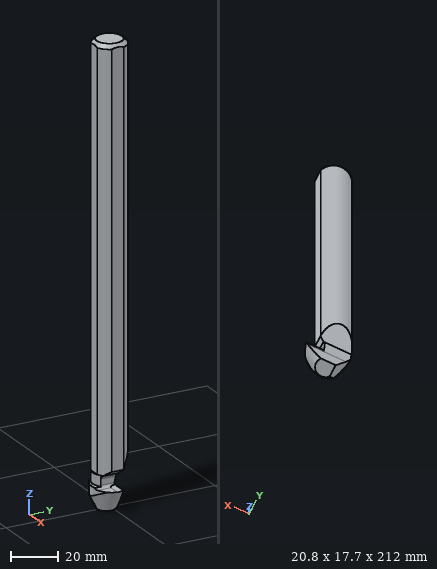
import cadquery as cq
import math

TOTAL_LENGTH = 212.0
OVERALL_WIDTH = 20.8
SHANK_DIAMETER = 16.0
SHANK_RADIUS = SHANK_DIAMETER / 2
FLAT_DISTANCE = 7.5
TOP_CHAMFER = 2.0
JOINT_Z = 16.0

RELIEF_START_Z = 27.5
RELIEF_END_Y = 1.7
RAKE_TOP_Z = 9.5
RELIEF_BULGE = 0.5

LEDGE_Z = 10.8
CUTTER_CENTRE = (2.3, 0.8)
CUTTER_TIP_X = OVERALL_WIDTH - SHANK_RADIUS
CUTTER_RADIUS = math.hypot(CUTTER_TIP_X - CUTTER_CENTRE[0], CUTTER_CENTRE[1])
TIP_CENTRE = (2.3, -2.8)
TIP_RADIUS = 4.5
TAPER_TOP_CENTRE = (0.2, 1.3)
TAPER_TOP_RADIUS = 12.7

SIDE_RELIEF_TOP_Z = 13.4
SIDE_RELIEF_TIP_X = -1.0

NOTCH_X = 4.5
NOTCH_DEPTH = 0.6
LIP_WIDTH = 2.5
NOTCH_FOOT_RADIUS = 1.38
NOTCH_TOP_RADIUS = 1.0
NOTCH_BEVEL_TOP_Z = 17.8

MARGIN = 10.5
NOTCH_FLOOR_Z = LEDGE_Z - NOTCH_DEPTH
CUT_WIDTH = 2 * (CUTTER_TIP_X + MARGIN)


def back_relief():
    """Material removed behind the rake face and along the slope above it."""
    mid_y = RELIEF_END_Y / 2 - RELIEF_BULGE
    mid_z = (JOINT_Z + RAKE_TOP_Z) / 2
    outer_y = SHANK_RADIUS + MARGIN
    return (
        cq.Workplane("YZ", origin=(-CUT_WIDTH / 2, 0, 0))
        .moveTo(0, -MARGIN)
        .lineTo(0, RAKE_TOP_Z)
        .threePointArc((mid_y, mid_z), (RELIEF_END_Y, JOINT_Z))
        .lineTo(SHANK_RADIUS, RELIEF_START_Z)
        .lineTo(outer_y, RELIEF_START_Z)
        .lineTo(outer_y, -MARGIN)
        .close()
        .extrude(CUT_WIDTH)
    )


def cutting_lip():
    """Wedge left standing on the notch floor, highest beside the rake face."""
    return (
        cq.Workplane("YZ")
        .moveTo(-LIP_WIDTH, NOTCH_FLOOR_Z)
        .lineTo(0, LEDGE_Z)
        .lineTo(RELIEF_END_Y, LEDGE_Z)
        .lineTo(RELIEF_END_Y, NOTCH_FLOOR_Z)
        .close()
        .extrude(CUT_WIDTH)
    )


def neck_notch():
    """Notch with a sloping lip, a filleted foot, an upright wall and a 45 degree bevel."""
    bevel_foot_z = NOTCH_BEVEL_TOP_Z - (FLAT_DISTANCE - NOTCH_X)
    outer_x = CUTTER_TIP_X + MARGIN
    bevel_outer_z = NOTCH_BEVEL_TOP_Z + outer_x - FLAT_DISTANCE
    notch = (
        cq.Workplane("XZ", origin=(0, CUT_WIDTH / 2, 0))
        .moveTo(NOTCH_X, NOTCH_FLOOR_Z)
        .lineTo(outer_x, NOTCH_FLOOR_Z)
        .lineTo(outer_x, bevel_outer_z)
        .lineTo(NOTCH_X, bevel_foot_z)
        .close()
        .extrude(CUT_WIDTH)
    )
    foot = cq.selectors.NearestToPointSelector((NOTCH_X, 0, NOTCH_FLOOR_Z))
    bevel = cq.selectors.NearestToPointSelector((NOTCH_X, 0, bevel_foot_z))
    notch = notch.edges(foot).fillet(NOTCH_FOOT_RADIUS).edges(bevel).fillet(NOTCH_TOP_RADIUS)
    return notch.cut(cutting_lip())


def side_relief():
    """Wedge on the -X side, removed below the slanted flat."""
    slope = (SIDE_RELIEF_TIP_X + SHANK_RADIUS) / SIDE_RELIEF_TOP_Z
    outer_x = -SHANK_RADIUS - MARGIN
    return (
        cq.Workplane("XZ", origin=(0, CUT_WIDTH / 2, 0))
        .moveTo(SIDE_RELIEF_TIP_X + slope * MARGIN, -MARGIN)
        .lineTo(-SHANK_RADIUS, SIDE_RELIEF_TOP_Z)
        .lineTo(outer_x, SIDE_RELIEF_TOP_Z)
        .lineTo(outer_x, -MARGIN)
        .close()
        .extrude(CUT_WIDTH)
    )


def make_shank():
    bar = (
        cq.Workplane("XY", origin=(0, 0, JOINT_Z))
        .circle(SHANK_RADIUS)
        .extrude(TOTAL_LENGTH - JOINT_Z)
        .faces(">Z")
        .chamfer(TOP_CHAMFER)
    )
    flats = (
        cq.Workplane("XY", origin=(FLAT_DISTANCE, -FLAT_DISTANCE, 0))
        .rect(-CUT_WIDTH, CUT_WIDTH, centered=False)
        .extrude(TOTAL_LENGTH)
    )
    return bar.intersect(flats).cut(back_relief()).cut(neck_notch())


def make_cutter():
    """Round cutter, trimmed by the taper that narrows toward the tip."""
    cylinder = (
        cq.Workplane("XY")
        .center(*CUTTER_CENTRE)
        .circle(CUTTER_RADIUS)
        .extrude(LEDGE_Z)
    )
    taper = (
        cq.Workplane("XY")
        .moveTo(*TIP_CENTRE)
        .circle(TIP_RADIUS)
        .workplane(offset=LEDGE_Z)
        .moveTo(*TAPER_TOP_CENTRE)
        .circle(TAPER_TOP_RADIUS)
        .loft(ruled=True)
    )
    return cylinder.intersect(taper)


def make_head():
    neck = (
        cq.Workplane("XY", origin=(0, 0, LEDGE_Z))
        .circle(SHANK_RADIUS)
        .extrude(JOINT_Z - LEDGE_Z)
    )
    return make_cutter().union(neck).cut(neck_notch()).cut(back_relief()).cut(side_relief())


shank = make_shank()
cutting_head = make_head()

result = cq.Compound.makeCompound([shank.val(), cutting_head.val()])